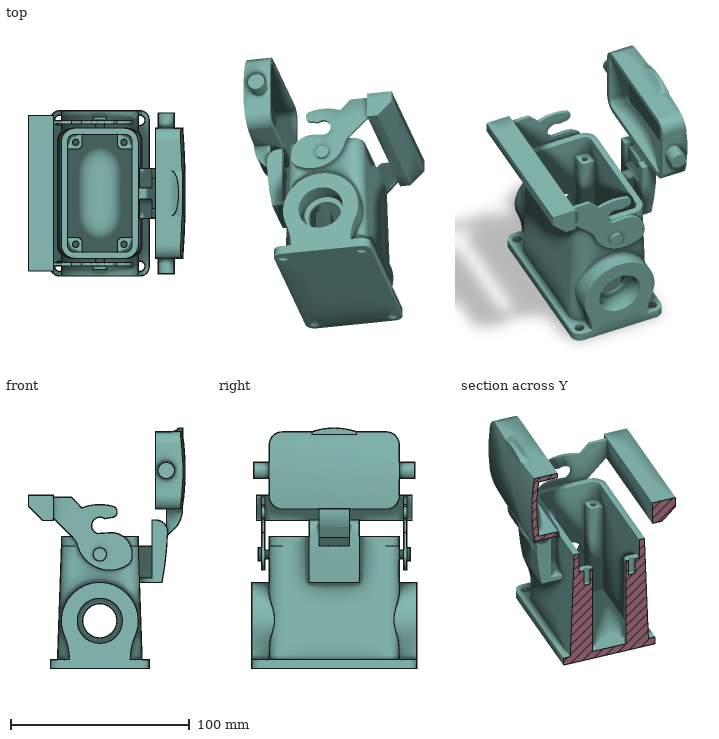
import cadquery as cq
import math


base_length_x = 55.3
base_length_y = 92.5
base_height = 5.0
base_corner_radius = 5.25
base_hole_diameter = 5.6
base_hole_x = 22.4
base_hole_y = 40.8

body_height = 74.0
body_half_x = 21.5
body_half_y = 36.4
body_corner_radius = 7.5
wall = 3.5
draft_angle = 2.0
draft_top = 68.5
floor_z = base_height

post_top = 61.6
post_size = 8.1
post_fillet = 2.5
post_hole_diameter = 3.5
post_hole_depth = 10.0
post_hole_x = 13.5
post_hole_y = 28.5

entry_z = 26.75
entry_radius = 21.5
entry_foot_half_width = 17.0
entry_bore_diameter = 25.2
entry_bore_depth = 12.0
entry_hole_diameter = 19.0

lever_inner_y = 38.75
lever_outer_y = 40.6
pivot_z = 63.9
pivot_shaft_diameter = 5.0
pivot_head_diameter = 7.4
pivot_end_y = 42.6
handle_left = -40.0
handle_right = -26.0
handle_bottom = 82.7
handle_top = 97.0
handle_half_y = 43.5
handle_chamfer = 8.1
handle_overlap = 2.0

lever_arm_top = 95.9
lever_arm_corner_x = -15.8
finger_root = (-10.1, 89.9)
finger_crest = (-0.4, 91.8)
finger_shoulder = (8.0, 90.6)
finger_tip = (9.7, 87.4)
finger_underside = (7.6, 84.6)
hook_mouth = (2.7, 83.8)
hook_back = (-4.5, 80.4)
hook_end = (-1.3, 75.6)
lobe_top = (6.3, 76.1)
lobe_flank = (14.6, 72.7)
lobe_side = (18.0, 64.4)
lobe_nose = (17.3, 60.0)
lobe_corner = (14.4, 57.3)
lobe_bottom = (-3.0, 57.1)
lobe_end = (-12.7, 69.9)
lever_neck = (-13.9, 72.0)

bracket_half_y = 14.0
bracket_bottom = 48.1
bracket_slab_top = 50.7
bracket_front_x = 29.1
bracket_root_x = body_half_x - wall / 2
bracket_web_half_y = 3.1
bracket_web_top = draft_top
bracket_web_fillet = 3.75
lug_top = 83.2
lug_gap_half_y = 8.6
lug_round_radius = 6.6
lug_back_x = 37.8
plate_back_middle = (36.9, 62.0)
plate_foot_back_x = 34.8

cover_front_x = 31.1
cover_back_x = 47.86
cover_half_y = body_half_y
cover_half_z = 21.65
cover_center_z = 110.8
cover_corner_radius = 7.5
cover_wall = 3.3
dome_sag_y = 1.4
dome_sag_z = 1.8
dome_sweep_margin = 2.0
cover_pin_diameter = 9.2
cover_pin_x = 37.15
cover_pin_end_y = 45.0

arm_front_x = 37.2
arm_barrel_front_x = 31.3
arm_barrel_top = 80.3
arm_barrel_bottom = 73.2
arm_barrel_back_x = 36.5
arm_knee = (42.6, 79.1)
arm_bend = (45.2, 83.5)
arm_root_back_x = 46.3
grip_half_y = 12.5
grip_front_x = 40.4
grip_edge_x = 44.0
grip_back_x = 46.4
grip_top = 134.56
grip_hollow = (42.5, 133.2)


def xz_prism(sketch, y_start, y_end):
    """Extrude a closed XZ wire from y_start to y_end."""
    return sketch.extrude(y_start - y_end).translate((0, y_start, 0))


def rounded_rectangle(half_x, half_y, radius):
    return cq.Sketch().rect(2 * half_x, 2 * half_y).vertices().fillet(radius)


def rounded_block(half_x, half_y, radius, z_bottom, z_top):
    outline = rounded_rectangle(half_x, half_y, radius)
    return cq.Workplane("XY", origin=(0, 0, z_bottom)).placeSketch(outline).extrude(z_top - z_bottom)


def both_sides(half):
    return half.union(half.mirror("XZ"))


def y_cylinder(diameter, x, z, y_start, y_end):
    circle = cq.Workplane("XZ", origin=(x, 0, z)).circle(diameter / 2)
    return xz_prism(circle, y_start, y_end)


def make_base():
    holes = (
        cq.Workplane("XY")
        .rarray(2 * base_hole_x, 2 * base_hole_y, 2, 2)
        .circle(base_hole_diameter / 2)
        .extrude(base_height)
    )
    plate = rounded_block(base_length_x / 2, base_length_y / 2, base_corner_radius, 0, base_height)
    return plate.cut(holes)


def make_body():
    """Upright rim above a skirt whose long sides flare toward the base."""
    rim = rounded_block(body_half_x, body_half_y, body_corner_radius, draft_top, body_height)
    foot_half_x = body_half_x + (draft_top - base_height) * math.tan(math.radians(draft_angle))
    skirt_outline = (
        cq.Workplane("XZ")
        .moveTo(-foot_half_x, base_height)
        .lineTo(foot_half_x, base_height)
        .lineTo(body_half_x, draft_top)
        .lineTo(-body_half_x, draft_top)
        .close()
    )
    skirt = xz_prism(skirt_outline, -body_half_y, body_half_y)
    return rim.union(skirt.edges("not(|X or |Y)").fillet(body_corner_radius))


def make_cavity():
    """Inner space of the housing, with the four screw posts left standing."""
    half_x = body_half_x - wall
    half_y = body_half_y - wall
    cavity = rounded_block(half_x, half_y, body_corner_radius - wall, floor_z, body_height)
    posts = (
        cq.Workplane("XY", origin=(0, 0, floor_z))
        .rarray(2 * half_x, 2 * half_y, 2, 2)
        .rect(2 * post_size, 2 * post_size)
        .extrude(post_top - floor_z)
        .edges("|Z")
        .fillet(post_fillet)
    )
    holes = (
        cq.Workplane("XY", origin=(0, 0, post_top - post_hole_depth))
        .rarray(2 * post_hole_x, 2 * post_hole_y, 2, 2)
        .circle(post_hole_diameter / 2)
        .extrude(post_hole_depth)
    )
    return cavity.cut(posts).union(holes)


def make_entry_boss():
    """Round boss whose sides sweep in, tangent to the circle, to a narrower upright foot."""
    rise = entry_z - base_height
    reach = entry_foot_half_width
    flank_radius = (reach**2 + rise**2 - entry_radius**2) / (2 * (entry_radius - reach))
    flank_x = reach + flank_radius
    join_angle = math.atan2(rise, flank_x)
    join_x = entry_radius * math.cos(join_angle)
    join_z = entry_z - entry_radius * math.sin(join_angle)
    middle_x = flank_x - flank_radius * math.cos(join_angle / 2)
    middle_z = base_height + flank_radius * math.sin(join_angle / 2)
    outline = (
        cq.Workplane("XZ")
        .moveTo(-reach, 0)
        .lineTo(reach, 0)
        .lineTo(reach, base_height)
        .threePointArc((middle_x, middle_z), (join_x, join_z))
        .threePointArc((0, entry_z + entry_radius), (-join_x, join_z))
        .threePointArc((-middle_x, middle_z), (-reach, base_height))
        .close()
    )
    return xz_prism(outline, -base_length_y / 2, base_length_y / 2)


def make_entry_bores():
    face_y = base_length_y / 2
    bore = y_cylinder(entry_bore_diameter, 0, entry_z, face_y - entry_bore_depth, face_y)
    hole = y_cylinder(entry_hole_diameter, 0, entry_z, -face_y, face_y)
    return both_sides(bore).union(hole)


def make_lever():
    """Two hooked side plates on pivot pins, joined by the handle bar."""
    arm_end_x = handle_right - handle_overlap
    neck_x, neck_z = lever_neck
    plate_outline = (
        cq.Workplane("XZ")
        .moveTo(arm_end_x, lever_arm_top)
        .lineTo(lever_arm_corner_x, lever_arm_top)
        .lineTo(*finger_root)
        .threePointArc(finger_crest, finger_shoulder)
        .threePointArc(finger_tip, finger_underside)
        .lineTo(*hook_mouth)
        .threePointArc(hook_back, hook_end)
        .lineTo(*lobe_top)
        .threePointArc(lobe_flank, lobe_side)
        .threePointArc(lobe_nose, lobe_corner)
        .threePointArc(lobe_bottom, lobe_end)
        .lineTo(*lever_neck)
        .lineTo(arm_end_x, neck_z + neck_x - arm_end_x)
        .close()
    )
    plate = xz_prism(plate_outline, lever_inner_y, lever_outer_y)
    shaft = y_cylinder(pivot_shaft_diameter, 0, pivot_z, body_half_y - wall / 2, lever_outer_y)
    head = y_cylinder(pivot_head_diameter, 0, pivot_z, lever_outer_y, pivot_end_y)
    handle_outline = (
        cq.Workplane("XZ")
        .moveTo(handle_left, handle_top)
        .lineTo(handle_right, handle_top)
        .lineTo(handle_right, handle_bottom)
        .lineTo(handle_left + handle_chamfer, handle_bottom)
        .lineTo(handle_left, handle_bottom + handle_chamfer)
        .close()
    )
    handle = xz_prism(handle_outline, -handle_half_y, handle_half_y)
    return both_sides(plate.union(shaft).union(head)).union(handle)


def make_bracket():
    """Upright plate with two lugs, carried by a slab and a filleted central web."""
    arc_middle = 1 - math.sqrt(0.5)
    round_inset = lug_round_radius * arc_middle
    plate_outline = (
        cq.Workplane("XZ")
        .moveTo(bracket_front_x, bracket_bottom)
        .lineTo(bracket_front_x, lug_top)
        .lineTo(lug_back_x - lug_round_radius, lug_top)
        .threePointArc(
            (lug_back_x - round_inset, lug_top - round_inset),
            (lug_back_x, lug_top - lug_round_radius),
        )
        .threePointArc(plate_back_middle, (plate_foot_back_x, bracket_bottom))
        .close()
    )
    plate = xz_prism(plate_outline, -bracket_half_y, bracket_half_y)
    gap = (
        cq.Workplane("XY", origin=(bracket_front_x, 0, bracket_web_top))
        .rect(2 * (cover_back_x - bracket_front_x), 2 * lug_gap_half_y)
        .extrude(lug_top - bracket_web_top)
    )
    web_foot_half_y = bracket_web_half_y + bracket_web_fillet
    web_fillet_top = bracket_slab_top + bracket_web_fillet
    fillet_inset = bracket_web_fillet * arc_middle
    half_support = (
        cq.Workplane("YZ", origin=(bracket_root_x, 0, 0))
        .moveTo(0, bracket_bottom)
        .lineTo(bracket_half_y, bracket_bottom)
        .lineTo(bracket_half_y, bracket_slab_top)
        .lineTo(web_foot_half_y, bracket_slab_top)
        .threePointArc(
            (bracket_web_half_y + fillet_inset, bracket_slab_top + fillet_inset),
            (bracket_web_half_y, web_fillet_top),
        )
        .lineTo(bracket_web_half_y, bracket_web_top)
        .lineTo(0, bracket_web_top)
        .close()
        .extrude(bracket_front_x - bracket_root_x)
    )
    return plate.cut(gap).union(both_sides(half_support))


def dome_block(back_x):
    """Solid behind the cover opening, closed at the back by a face curved in both directions."""
    radius_y = (cover_half_y**2 + dome_sag_y**2) / (2 * dome_sag_y)
    edge_x = back_x - dome_sag_z
    axis_x = back_x - radius_y
    profile = (
        cq.Workplane("XZ")
        .moveTo(axis_x, cover_center_z - cover_half_z)
        .lineTo(edge_x, cover_center_z - cover_half_z)
        .threePointArc((back_x, cover_center_z), (edge_x, cover_center_z + cover_half_z))
        .lineTo(axis_x, cover_center_z + cover_half_z)
        .close()
    )
    sweep = 2 * math.degrees(math.asin(cover_half_y / radius_y)) + dome_sweep_margin
    wedge = profile.revolve(sweep, (axis_x, 0, 0), (axis_x, 1, 0))
    return wedge.rotate((axis_x, 0, 0), (axis_x, 0, 1), -sweep / 2)


def cover_prism(inset):
    outline = rounded_rectangle(cover_half_y - inset, cover_half_z - inset, cover_corner_radius - inset)
    return (
        cq.Workplane("YZ", origin=(cover_front_x, 0, cover_center_z))
        .placeSketch(outline)
        .extrude(cover_back_x - cover_front_x)
    )


def make_cover():
    shell = cover_prism(0).intersect(dome_block(cover_back_x))
    hollow = cover_prism(cover_wall).intersect(dome_block(cover_back_x - cover_wall))
    pin = y_cylinder(
        cover_pin_diameter, cover_pin_x, cover_center_z, cover_half_y - cover_wall / 2, cover_pin_end_y
    )
    return shell.cut(hollow).union(both_sides(pin))


def make_grip():
    """Curved thumb grip on the top edge of the cover."""
    cover_top = cover_center_z + cover_half_z
    root_z = cover_top - cover_wall / 2
    slope = (
        cq.Workplane("XZ")
        .moveTo(grip_front_x, root_z)
        .lineTo(grip_front_x, cover_top)
        .threePointArc(grip_hollow, (grip_edge_x, grip_top))
        .lineTo(grip_back_x, grip_top)
        .lineTo(grip_back_x, root_z)
        .close()
    )
    crown = (
        cq.Workplane("YZ", origin=(grip_front_x, 0, 0))
        .moveTo(-grip_half_y, root_z)
        .lineTo(-grip_half_y, cover_top)
        .threePointArc((0, grip_top), (grip_half_y, cover_top))
        .lineTo(grip_half_y, root_z)
        .close()
        .extrude(grip_back_x - grip_front_x)
    )
    return xz_prism(slope, -grip_half_y, grip_half_y).intersect(crown)


def make_arm():
    """Arm under the cover that ends in a block held between the bracket lugs."""
    root_z = cover_center_z - cover_half_z + cover_wall / 2
    outline = (
        cq.Workplane("XZ")
        .moveTo(arm_front_x, root_z)
        .lineTo(arm_front_x, arm_barrel_top)
        .lineTo(arm_barrel_front_x, arm_barrel_top)
        .lineTo(arm_barrel_front_x, arm_barrel_bottom)
        .lineTo(arm_barrel_back_x, arm_barrel_bottom)
        .lineTo(*arm_knee)
        .threePointArc(arm_bend, (arm_root_back_x, cover_center_z - cover_half_z))
        .lineTo(cover_back_x - cover_wall, root_z)
        .close()
    )
    return xz_prism(outline, -lug_gap_half_y, lug_gap_half_y)


result = (
    make_base()
    .union(make_body())
    .union(make_entry_boss())
    .cut(make_cavity())
    .cut(make_entry_bores())
    .union(make_lever())
    .union(make_bracket())
    .union(make_arm())
    .union(make_cover())
    .union(make_grip())
)